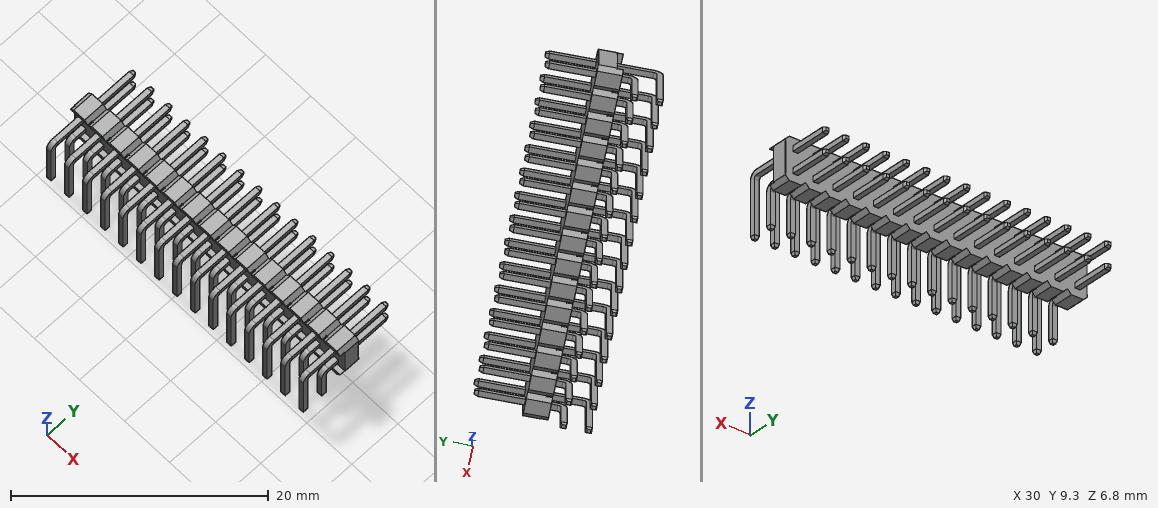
import cadquery as cq


length = 30.0
overall_depth = 9.3
overall_height = 6.8
columns = 15
pitch = length / columns
row_pitch = pitch

body_height = 2 * row_pitch
body_depth = pitch
bar_height = 3.2
bar_depth = 1.5
tooth_height = (body_height - bar_height) / 2
tooth_tip_width = pitch - 2 * tooth_height
overhang = body_depth - bar_depth
overhang_gap = 0.1
corner_bevel = 0.05
corner_bevel_height = 2.88

pin_width = pitch / 4
pin_reach_back = 2 * pitch
bend_outer_radius = 0.75
bend_inner_radius = bend_outer_radius - pin_width
tip_length = 0.3
tip_width = 0.3

pin_bottom_z = body_height / 2 - overall_height
front_tail_y = pin_reach_back - overall_depth + pin_width / 2
rear_tail_y = front_tail_y + row_pitch
column_positions = [(i - (columns - 1) / 2) * pitch for i in range(columns)]
column_borders = [(i - columns / 2) * pitch for i in range(columns + 1)]


def make_tooth(side):
    """Tooth at X = 0 on the top (side = 1) or bottom (side = -1) of the bar."""
    root_z = side * bar_height / 2
    tip_z = side * body_height / 2
    return (
        cq.Workplane("XZ")
        .moveTo(-pitch / 2, root_z)
        .lineTo(pitch / 2, root_z)
        .lineTo(tooth_tip_width / 2, tip_z)
        .lineTo(-tooth_tip_width / 2, tip_z)
        .close()
        .extrude(body_depth)
    )


def make_corner_bevel(side):
    """Wedge to cut from the rear corner of the bar at the +X or -X end."""
    end_x = side * length / 2
    return (
        cq.Workplane("XY", origin=(0, 0, -corner_bevel_height / 2))
        .moveTo(end_x, 0)
        .lineTo(end_x, -corner_bevel)
        .lineTo(end_x - side * corner_bevel, 0)
        .close()
        .extrude(corner_bevel_height)
    )


def make_body():
    body = cq.Workplane("XY").box(length, bar_depth, bar_height).translate((0, -bar_depth / 2, 0))
    for side in (1, -1):
        tooth = make_tooth(side)
        for x in column_positions:
            body = body.union(tooth.translate((x, 0, 0)))

    gaps = (
        cq.Workplane("XY")
        .pushPoints([(x, -bar_depth - overhang / 2) for x in column_borders])
        .rect(overhang_gap, overhang)
        .extrude(body_height, both=True)
    )
    return body.cut(gaps).cut(make_corner_bevel(1)).cut(make_corner_bevel(-1))


def make_tip(y, z, normal):
    """Square taper growing out of the end of a pin, along the given normal."""
    return (
        cq.Workplane(cq.Plane(origin=(0, y, z), xDir=(1, 0, 0), normal=normal))
        .rect(pin_width, pin_width)
        .workplane(offset=tip_length)
        .rect(tip_width, tip_width)
        .loft(ruled=True)
    )


def make_pin(row_z, tail_y):
    """Pin at X = 0 running level through the body, then bent down into a vertical tail."""
    half = pin_width / 2
    back_y = pin_reach_back - tip_length
    bottom_z = pin_bottom_z + tip_length
    shank = (
        cq.Workplane("YZ", origin=(-half, 0, 0))
        .moveTo(back_y, row_z + half)
        .lineTo(tail_y - half + bend_outer_radius, row_z + half)
        .radiusArc((tail_y - half, row_z + half - bend_outer_radius), -bend_outer_radius)
        .lineTo(tail_y - half, bottom_z)
        .lineTo(tail_y + half, bottom_z)
        .lineTo(tail_y + half, row_z - half - bend_inner_radius)
        .radiusArc((tail_y + half + bend_inner_radius, row_z - half), bend_inner_radius)
        .lineTo(back_y, row_z - half)
        .close()
        .extrude(pin_width)
    )
    back_tip = make_tip(back_y, row_z, (0, 1, 0))
    bottom_tip = make_tip(tail_y, bottom_z, (0, 0, -1))
    return shank.union(back_tip).union(bottom_tip)


upper_pin = make_pin(row_pitch / 2, front_tail_y)
lower_pin = make_pin(-row_pitch / 2, rear_tail_y)
pins = cq.Workplane("XY")
for column_x in column_positions:
    pins = pins.add(upper_pin.translate((column_x, 0, 0)))
    pins = pins.add(lower_pin.translate((column_x, 0, 0)))

result = make_body().union(pins.combine())